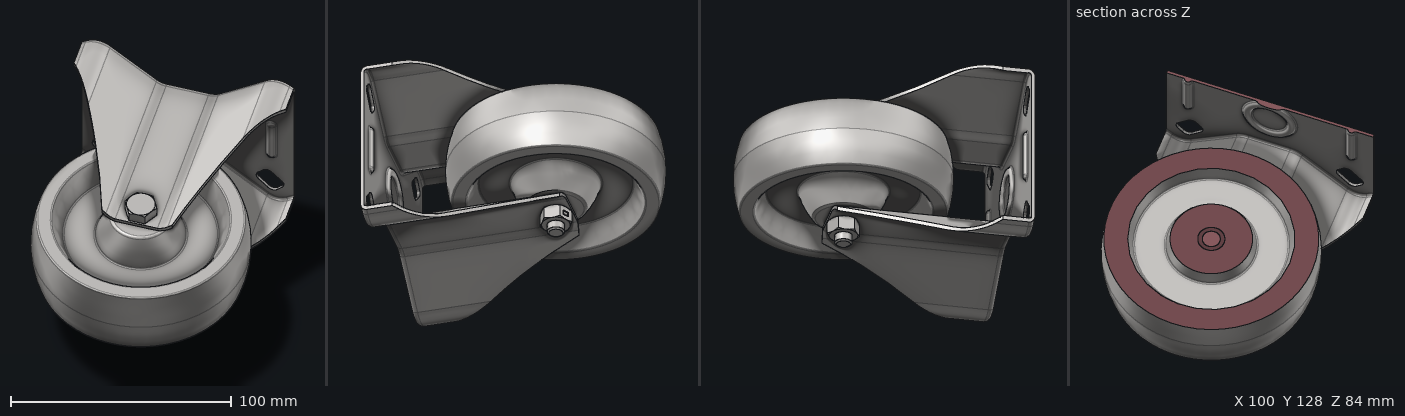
import cadquery as cq
import math


TREAD_RADIUS = 50.0
TREAD_EDGE_RADIUS = 47.2
WHEEL_HALF_WIDTH = 17.0
TREAD_EDGE_FILLET = 0.8
RIM_TOP_RADIUS = 40.6
RIM_FLOOR_RADIUS = 35.2
WEB_HALF_THICKNESS = 6.4
POCKET_FILLET = 0.8
HUB_HALF_LENGTH = 20.1
HUB_TOP_RADIUS = 13.7
HUB_BASE_RADIUS = 20.7
HUB_FLANK_SAGITTA = 0.6
HUB_TOP_FILLET = 1.8

BOLT_RADIUS = 4.0
SLEEVE_RADIUS = 6.0
HEX_ACROSS_FLATS = 13.0
HEX_CHAMFER_ANGLE = 30
HEAD_HEIGHT = 5.2
NUT_HEIGHT = 6.8
BOLT_END_Z = -33.3
BOLT_END_CHAMFER = 0.8
NUT_MARK_LENGTH = 3.0
NUT_MARK_HEIGHT = 2.0
NUT_MARK_DEPTH = 0.5

BRACKET_HALF_WIDTH = 50.0
BRACKET_HALF_HEIGHT = 42.0
PLATE_BACK_Y = 78.0
SHEET = 1.7
LEG_INNER_Z = 20.5
LEG_OUTER_Z = LEG_INNER_Z + SHEET
FOLD_RADIUS = 3.0
LEG_FLAT_HALF_WIDTH = 10.0
VALLEY_RADIUS = 7.7
CREST_RADIUS = 10.0
FLARE_ANGLE = math.radians(36.7)
RIM_ANGLE = math.radians(34)
LEG_TIP_Y = -7.4
LEG_CORNER_X = 16.5
LEG_CORNER_Y = -6.3
LEG_SHOULDER_Y = 63.1
LEG_SIDE_SAGITTA = 2.5

SLOT_LENGTH = 12.7
SLOT_WIDTH = 9.0
SLOT_CORNER_RADIUS = 2.8
SLOT_X = 38.7
SLOT_Z = 28.5
SLOT_ANGLE = 45
BEAD_HALF_WIDTH = 2.8
BEAD_CREST_HALF_WIDTH = 2.0
BEAD_HEIGHT = 1.8
BEAD_RING_RADIUS = 10.8
BEAD_HALF_LENGTH = 10.0
BEAD_X = 39.4

PLATE_FRONT_Y = PLATE_BACK_Y - SHEET

SELECT_MARGIN = 0.1


def flare_quadrant(offset, back_y, fold_radius):
    """Quarter of the block inside the leg surface, moved inward by offset and rounded at back_y."""
    valley = VALLEY_RADIUS + offset
    crest = CREST_RADIUS - offset
    flat_z = LEG_OUTER_Z - offset
    valley_z = LEG_OUTER_Z + VALLEY_RADIUS
    crest_z = BRACKET_HALF_HEIGHT - CREST_RADIUS
    rise = BRACKET_HALF_HEIGHT - LEG_OUTER_Z
    arcs_rise = (VALLEY_RADIUS + CREST_RADIUS) * (1 - math.cos(FLARE_ANGLE))
    arcs_run = (VALLEY_RADIUS + CREST_RADIUS) * math.sin(FLARE_ANGLE)
    crest_x = LEG_FLAT_HALF_WIDTH + arcs_run + (rise - arcs_rise) / math.tan(FLARE_ANGLE)

    def on_valley(angle):
        return (LEG_FLAT_HALF_WIDTH + valley * math.sin(angle), valley_z - valley * math.cos(angle))

    def on_crest(angle):
        return (crest_x + crest * math.sin(angle), crest_z + crest * math.cos(angle))

    rim_start_x, rim_start_z = on_crest(RIM_ANGLE)
    rim_end_z = rim_start_z - (BRACKET_HALF_WIDTH - rim_start_x) * math.tan(RIM_ANGLE)
    block = (
        cq.Workplane("XZ", origin=(0, back_y, 0))
        .lineTo(0, flat_z)
        .lineTo(LEG_FLAT_HALF_WIDTH, flat_z)
        .threePointArc(on_valley(FLARE_ANGLE / 2), on_valley(FLARE_ANGLE))
        .lineTo(*on_crest(-FLARE_ANGLE))
        .threePointArc(on_crest(0), (rim_start_x, rim_start_z))
        .lineTo(BRACKET_HALF_WIDTH, rim_end_z)
        .lineTo(BRACKET_HALF_WIDTH, 0)
        .close()
        .extrude(back_y - LEG_TIP_Y)
    )
    outline_edges = cq.selectors.BoxSelector(
        (SELECT_MARGIN, back_y - SELECT_MARGIN, SELECT_MARGIN),
        (BRACKET_HALF_WIDTH - SELECT_MARGIN, back_y + SELECT_MARGIN, BRACKET_HALF_HEIGHT),
    )
    return block.edges(outline_edges).fillet(fold_radius)


def flare_block(offset, back_y, fold_radius):
    """Whole block inside the leg surfaces, from four mirrored quarters."""
    quadrant = flare_quadrant(offset, back_y, fold_radius)
    half = quadrant.union(quadrant.mirror("YZ"))
    return half.union(half.mirror("XY"))


def leg_silhouette():
    """Tapered outline of the legs, seen along the wheel axis."""
    return (
        cq.Workplane("XY", origin=(0, 0, -BRACKET_HALF_HEIGHT))
        .moveTo(-LEG_FLAT_HALF_WIDTH, LEG_TIP_Y)
        .lineTo(LEG_FLAT_HALF_WIDTH, LEG_TIP_Y)
        .lineTo(LEG_CORNER_X, LEG_CORNER_Y)
        .sagittaArc((BRACKET_HALF_WIDTH, LEG_SHOULDER_Y), LEG_SIDE_SAGITTA)
        .lineTo(BRACKET_HALF_WIDTH, PLATE_BACK_Y)
        .lineTo(-BRACKET_HALF_WIDTH, PLATE_BACK_Y)
        .lineTo(-BRACKET_HALF_WIDTH, LEG_SHOULDER_Y)
        .sagittaArc((-LEG_CORNER_X, LEG_CORNER_Y), LEG_SIDE_SAGITTA)
        .close()
        .extrude(2 * BRACKET_HALF_HEIGHT)
    )


def plate_slot(side_x, side_z):
    """Rounded slot whose long side points away from the plate's centre."""
    slot = (
        cq.Workplane("XY")
        .rect(SLOT_LENGTH, SLOT_WIDTH)
        .extrude(3 * SHEET, both=True)
        .edges("|Z")
        .fillet(SLOT_CORNER_RADIUS)
        .rotate((0, 0, 0), (1, 0, 0), 90)
        .rotate((0, 0, 0), (0, 1, 0), -SLOT_ANGLE * side_x * side_z)
    )
    return slot.translate((side_x * SLOT_X, PLATE_BACK_Y, side_z * SLOT_Z))


def bead_section(center_x, whole):
    """Bead section on the plate's inner face: a round crest with flared feet, or just its right half."""
    slope = 2 * math.atan(BEAD_HEIGHT / BEAD_HALF_WIDTH)
    foot_radius = (BEAD_HALF_WIDTH - BEAD_CREST_HALF_WIDTH) / math.sin(slope)
    crest_radius = BEAD_CREST_HALF_WIDTH / math.sin(slope)

    def on_crest(angle):
        return (crest_radius * math.sin(angle), crest_radius * (1 - math.cos(angle)) - BEAD_HEIGHT)

    def on_foot(angle, side):
        return (side * (BEAD_HALF_WIDTH - foot_radius * math.sin(angle)), foot_radius * (math.cos(angle) - 1))

    section = cq.Workplane("XY", origin=(center_x, PLATE_FRONT_Y, 0))
    if whole:
        section = (
            section.moveTo(*on_foot(0, -1))
            .threePointArc(on_foot(slope / 2, -1), on_crest(-slope))
            .threePointArc(on_crest(0), on_crest(slope))
        )
    else:
        section = section.lineTo(*on_crest(0)).threePointArc(on_crest(slope / 2), on_crest(slope))
    return section.threePointArc(on_foot(slope / 2, 1), on_foot(0, 1)).close()


def straight_bead(center_x):
    """Upright bead with round ends."""
    bead = bead_section(center_x, True).extrude(BEAD_HALF_LENGTH, both=True)
    round_end = bead_section(center_x, False).revolve(360, (0, 0, 0), (0, 1, 0))
    for end_z in (-BEAD_HALF_LENGTH, BEAD_HALF_LENGTH):
        bead = bead.union(round_end.translate((0, 0, end_z)))
    return bead


def ring_bead():
    """Ring-shaped bead in the middle of the plate."""
    axis_start = (-BEAD_RING_RADIUS, 0, 0)
    axis_end = (-BEAD_RING_RADIUS, 1, 0)
    return bead_section(BEAD_RING_RADIUS, True).revolve(360, axis_start, axis_end)


def make_bracket():
    """Mounting plate and both legs, folded from one sheet."""
    outer = flare_block(0, PLATE_BACK_Y, FOLD_RADIUS)
    inner = flare_block(SHEET, PLATE_FRONT_Y, FOLD_RADIUS - SHEET)
    bracket = outer.cut(inner).intersect(leg_silhouette())
    for side_x in (-1, 1):
        for side_z in (-1, 1):
            bracket = bracket.cut(plate_slot(side_x, side_z))
        bracket = bracket.union(straight_bead(side_x * BEAD_X))
    bracket = bracket.union(ring_bead())
    bolt_hole = cq.Workplane("XY").circle(BOLT_RADIUS).extrude(BRACKET_HALF_HEIGHT, both=True)
    return bracket.cut(bolt_hole)


def make_wheel():
    """Wheel with a crowned tread, a conical rim pocket and a flared hub on each side."""
    half = (
        cq.Workplane("XZ")
        .moveTo(SLEEVE_RADIUS, 0)
        .lineTo(SLEEVE_RADIUS, HUB_HALF_LENGTH)
        .lineTo(HUB_TOP_RADIUS, HUB_HALF_LENGTH)
        .sagittaArc((HUB_BASE_RADIUS, WEB_HALF_THICKNESS), HUB_FLANK_SAGITTA)
        .lineTo(RIM_FLOOR_RADIUS, WEB_HALF_THICKNESS)
        .lineTo(RIM_TOP_RADIUS, WHEEL_HALF_WIDTH)
        .lineTo(TREAD_EDGE_RADIUS, WHEEL_HALF_WIDTH)
        .threePointArc(tread_crown_point(WHEEL_HALF_WIDTH / 2), (TREAD_RADIUS, 0))
        .close()
        .revolve(360, (0, 0, 0), (0, 1, 0))
    )
    rounded_circles = (
        (HUB_TOP_RADIUS, HUB_HALF_LENGTH, HUB_TOP_FILLET),
        (HUB_BASE_RADIUS, WEB_HALF_THICKNESS, POCKET_FILLET),
        (RIM_FLOOR_RADIUS, WEB_HALF_THICKNESS, POCKET_FILLET),
        (RIM_TOP_RADIUS, WHEEL_HALF_WIDTH, POCKET_FILLET),
        (TREAD_EDGE_RADIUS, WHEEL_HALF_WIDTH, TREAD_EDGE_FILLET),
    )
    for radius, z, fillet in rounded_circles:
        half = half.edges(circle_at(radius, z)).fillet(fillet)
    return half.union(half.mirror("XY"))


def tread_crown_point(z):
    """Point of the tread's crown arc, which is centred on the wheel's middle plane."""
    drop = TREAD_RADIUS - TREAD_EDGE_RADIUS
    crown_radius = (WHEEL_HALF_WIDTH**2 + drop**2) / (2 * drop)
    return (TREAD_RADIUS - crown_radius + math.sqrt(crown_radius**2 - z**2), z)


def circle_at(radius, z):
    """Selector for the edge circle of the given radius at height z."""
    outside = radius + SELECT_MARGIN
    inside = radius - SELECT_MARGIN
    bottom = z - SELECT_MARGIN
    top = z + SELECT_MARGIN
    within = cq.selectors.BoxSelector((-outside, -outside, bottom), (outside, outside, top), boundingbox=True)
    smaller = cq.selectors.BoxSelector((-inside, -inside, bottom), (inside, inside, top), boundingbox=True)
    return within - smaller


def make_sleeve():
    """Tube that holds the legs apart and runs in the wheel's bore."""
    return (
        cq.Workplane("XY", origin=(0, 0, -LEG_INNER_Z))
        .circle(SLEEVE_RADIUS)
        .circle(BOLT_RADIUS)
        .extrude(2 * LEG_INNER_Z)
    )


def hexagon(height):
    """Hexagonal block from z = 0 up, with corners on the X axis and chamfered at the top."""
    corner_radius = HEX_ACROSS_FLATS / math.sqrt(3)
    flat_radius = HEX_ACROSS_FLATS / 2
    chamfer_drop = (corner_radius - flat_radius) * math.tan(math.radians(HEX_CHAMFER_ANGLE))
    block = cq.Workplane("XY").polygon(6, 2 * corner_radius).extrude(height)
    envelope = (
        cq.Workplane("XZ")
        .lineTo(corner_radius, 0)
        .lineTo(corner_radius, height - chamfer_drop)
        .lineTo(flat_radius, height)
        .lineTo(0, height)
        .close()
        .revolve(360, (0, 0, 0), (0, 1, 0))
    )
    return block.intersect(envelope)


def make_bolt():
    """Hexagon bolt from the top leg down through the nut."""
    head = hexagon(HEAD_HEIGHT).translate((0, 0, LEG_OUTER_Z))
    shank = (
        cq.Workplane("XY", origin=(0, 0, BOLT_END_Z))
        .circle(BOLT_RADIUS)
        .extrude(LEG_OUTER_Z - BOLT_END_Z)
        .faces("<Z")
        .chamfer(BOLT_END_CHAMFER)
    )
    return head.union(shank)


def make_nut():
    """Hexagon nut under the bottom leg, with a shallow rectangular recess in one flat."""
    half = hexagon(NUT_HEIGHT / 2)
    nut = half.union(half.mirror("XY")).rotate((0, 0, 0), (0, 0, 1), 90)
    mark = (
        cq.Workplane("XY")
        .box(2 * NUT_MARK_DEPTH, NUT_MARK_LENGTH, NUT_MARK_HEIGHT)
        .translate((HEX_ACROSS_FLATS / 2, 0, 0))
        .rotate((0, 0, 0), (0, 0, 1), 240)
    )
    bore = cq.Workplane("XY").circle(BOLT_RADIUS).extrude(NUT_HEIGHT, both=True)
    return nut.cut(mark).cut(bore).translate((0, 0, -LEG_OUTER_Z - NUT_HEIGHT / 2))


bracket = make_bracket()
wheel = make_wheel()
sleeve = make_sleeve()
bolt = make_bolt()
nut = make_nut()

result = cq.Compound.makeCompound([bracket.val(), wheel.val(), sleeve.val(), bolt.val(), nut.val()])